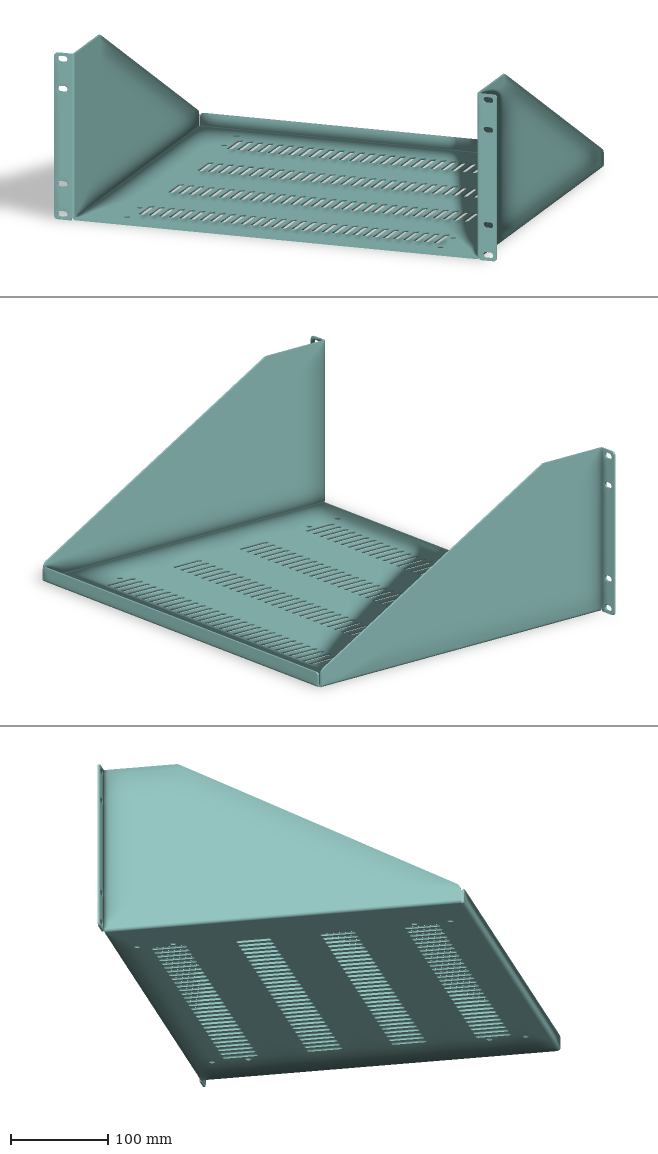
import cadquery as cq
import math

WIDTH = 482.8
DEPTH = 381.0
HEIGHT = 177.0

SHEET = 2.15
INNER_BEND = 0.7
OUTER_BEND = SHEET + INNER_BEND

TRAY_WIDTH = 443.5
LIP_HEIGHT = 16.0
LIP_CORNER = 3.0

WALL_TOP_LENGTH = 80.0
WALL_REAR_HEIGHT = 18.5
WALL_REAR_CORNER = 7.5

FLANGE_CORNER = 3.5
RACK_SLOT_LENGTH = 10.5
RACK_SLOT_HEIGHT = 6.5
RACK_SLOT_X = 232.0
RACK_SLOT_ZS = (50.5, 82.5)

VENT_ROWS = 4
VENT_COLUMNS = 30
VENT_ROW_PITCH = 89.0
VENT_PITCH = 11.0
VENT_LENGTH = 37.0
VENT_WIDTH = 6.0

HOLE_DIAMETER = 6.5
HOLE_X = 171.0
HOLE_YS = (127.0, 165.0)

FRONT = -DEPTH / 2
REAR = DEPTH / 2
BOTTOM = -HEIGHT / 2
TOP = HEIGHT / 2
HALF_TRAY = TRAY_WIDTH / 2
HALF_FLAT = HALF_TRAY - OUTER_BEND
FLANGE_BACK = FRONT + SHEET
WALL_FRONT = FRONT + OUTER_BEND
WALL_REAR = REAR - OUTER_BEND
BEND_TOP = BOTTOM + OUTER_BEND


def box(x0, x1, y0, y1, z0, z1):
    """Axis-aligned box between two opposite corners."""
    return cq.Workplane("XY").box(x1 - x0, y1 - y0, z1 - z0, centered=False).translate((x0, y0, z0))


def bend(plane, centre, length, start, end):
    """Quarter ring swept along the plane normal; start and end are the unit directions of its two ends."""
    middle = tuple((a + b) / math.sqrt(2) for a, b in zip(start, end))

    def at(radius, direction):
        return (centre[0] + radius * direction[0], centre[1] + radius * direction[1])

    return (
        plane.moveTo(*at(INNER_BEND, start))
        .lineTo(*at(OUTER_BEND, start))
        .threePointArc(at(OUTER_BEND, middle), at(OUTER_BEND, end))
        .lineTo(*at(INNER_BEND, end))
        .threePointArc(at(INNER_BEND, middle), at(INNER_BEND, start))
        .close()
        .extrude(length)
    )


def make_floor():
    """Flat floor between the bends of the side walls and the rear lip."""
    return box(-HALF_FLAT, HALF_FLAT, FLANGE_BACK, WALL_REAR, BOTTOM, BOTTOM + SHEET)


def make_rear_lip():
    """Low upstand along the rear edge of the floor, with rounded top corners."""
    lip = box(-HALF_FLAT, HALF_FLAT, REAR - SHEET, REAR, BEND_TOP, BOTTOM + LIP_HEIGHT)
    lip = lip.edges("|Y and >Z").fillet(LIP_CORNER)
    plane = cq.Workplane("YZ", origin=(-HALF_FLAT, 0, 0))
    centre = (WALL_REAR, BEND_TOP)
    return lip.union(bend(plane, centre, 2 * HALF_FLAT, (1, 0), (0, -1)))


def make_right_wall():
    """Side wall, joined to the floor by a bend along its bottom edge."""
    wall = (
        cq.Workplane("YZ", origin=(HALF_TRAY - SHEET, 0, 0))
        .moveTo(WALL_FRONT, BEND_TOP)
        .lineTo(WALL_REAR, BEND_TOP)
        .lineTo(WALL_REAR, BOTTOM + WALL_REAR_HEIGHT)
        .lineTo(FRONT + WALL_TOP_LENGTH, TOP)
        .lineTo(WALL_FRONT, TOP)
        .close()
        .extrude(SHEET)
    )
    rear_corner = cq.selectors.NearestToPointSelector(
        (HALF_TRAY - SHEET / 2, WALL_REAR, BOTTOM + WALL_REAR_HEIGHT)
    )
    wall = wall.edges("|X").edges(rear_corner).fillet(WALL_REAR_CORNER)
    plane = cq.Workplane("XZ", origin=(0, WALL_REAR, 0))
    centre = (HALF_FLAT, BEND_TOP)
    return wall.union(bend(plane, centre, WALL_REAR - FLANGE_BACK, (1, 0), (0, -1)))


def make_right_flange():
    """Rack flange, joined to the front edge of the side wall by a bend."""
    flat_start = HALF_TRAY + INNER_BEND
    flange = box(flat_start, WIDTH / 2, FRONT, FLANGE_BACK, BOTTOM, TOP)
    flange = flange.edges("|Y and >X").fillet(FLANGE_CORNER)
    plane = cq.Workplane("XY", origin=(0, 0, BEND_TOP))
    centre = (flat_start, WALL_FRONT)
    return flange.union(bend(plane, centre, TOP - BEND_TOP, (-1, 0), (0, -1)))


def make_rack_slots():
    """Cutters for the horizontal mounting slots in both flanges."""
    points = [(x, z) for x in (-RACK_SLOT_X, RACK_SLOT_X) for s in RACK_SLOT_ZS for z in (-s, s)]
    return (
        cq.Workplane("XZ", origin=(0, FLANGE_BACK, 0))
        .pushPoints(points)
        .slot2D(RACK_SLOT_LENGTH, RACK_SLOT_HEIGHT)
        .extrude(SHEET)
    )


def make_floor_openings():
    """Cutters for the ventilation slots and the mounting holes in the floor."""
    floor_plane = cq.Workplane("XY", origin=(0, 0, BOTTOM))
    vents = (
        floor_plane.rarray(VENT_PITCH, VENT_ROW_PITCH, VENT_COLUMNS, VENT_ROWS)
        .slot2D(VENT_LENGTH, VENT_WIDTH, 90)
        .extrude(SHEET)
    )
    hole_points = [(x, y) for x in (-HOLE_X, HOLE_X) for s in HOLE_YS for y in (-s, s)]
    holes = floor_plane.pushPoints(hole_points).circle(HOLE_DIAMETER / 2).extrude(SHEET)
    return vents.add(holes).combine()


right_side = make_right_wall().union(make_right_flange())
result = (
    make_floor()
    .union(make_rear_lip())
    .union(right_side)
    .union(right_side.mirror("YZ"))
    .cut(make_rack_slots())
    .cut(make_floor_openings())
)